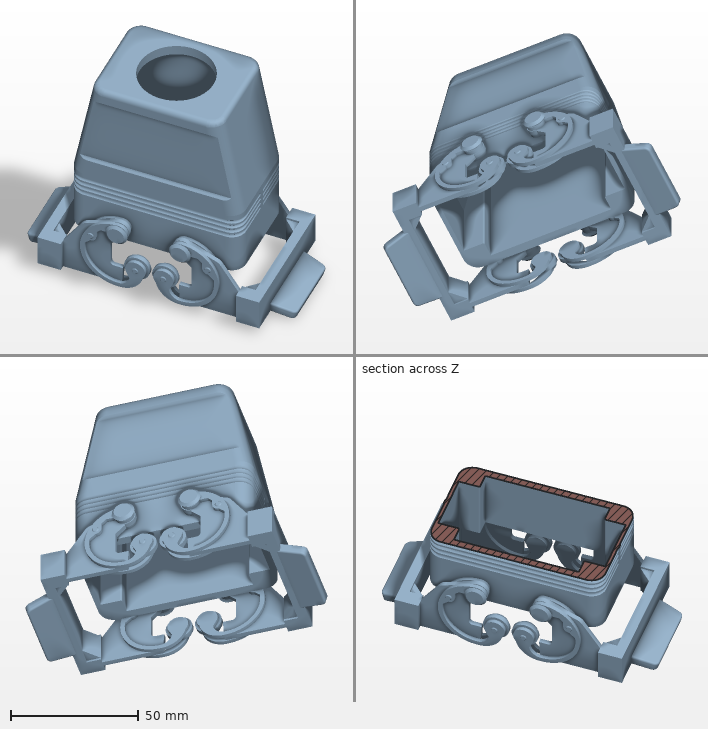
import cadquery as cq
import math


hood_half_length = 36.6
hood_half_width = 21.7
hood_bottom = 20.0
hood_top = 95.3
taper_start = 49.3
roof_half_length = 27.8
hood_corner_radius = 6.1
roof_edge_radius = 2.3
roof_thickness = 4.4
wall_thickness = 3.5
cable_hole_diameter = 31.7
cavity_half_length = 25.9
cavity_half_width = hood_half_width - wall_thickness
end_pocket_half_width = 11.8
end_pocket_wall = 1.9
end_pocket_edge_radius = 0.7

panel_bottom = 56.5
panel_top = 89.2
panel_depth = 1.2
panel_overshoot = 0.7

groove_count = 4
groove_top = 46.5
groove_height = 1.6
groove_pitch = 2.4
groove_depth = groove_height / 2
groove_gap = 2.3
groove_overrun = 1.2

lever_inner = 21.9
frame_plate_inner = 23.4
frame_plate_outer = 25.4
lever_outer = 27.0
knob_inner = 27.9
overall_width = 58.0
knob_outer = overall_width / 2

lever_center = (-13.5, 15.6)
lever_radius = 16.1
lever_rim = 1.9
pivot = (-13.5, 27.8)
pivot_boss_radius = 3.9
frame_boss_radius = 4.3
pivot_pin_radius = 2.4
knob_radius = 4.6
knob_bevel = 1.0
hook = (-6.0, 10.3)
hook_radius = 4.3
roller_radius = 5.5
rivet = (-25.1, 22.2)
rivet_boss_radius = 2.4
rivet_radius = 1.4
rivet_rise = 0.3

frame_outer = 47.5
frame_bar_inner = 43.3
frame_leg_inner = 37.5
frame_half_width = 27.8
frame_opening_half_width = 21.7
frame_height = 13.8
frame_plate_embed = 1.2
gusset_recess = 0.9
gusset_leg = frame_bar_inner - frame_leg_inner

handle_slope = 15
handle_root_half_width = 17.0
handle_tip_half_width = 14.9
handle_thickness = 4.2
handle_bottom = -2.8
handle_reach = 57.9
handle_embed = 2.3
handle_corner_radius = 2.3
handle_edge_radius = 0.8


def side_layer(inner, outer):
    """Work plane facing -Y, with the extrusion length that fills the given layer."""
    return cq.Workplane("XZ", origin=(0, -inner, 0)), outer - inner


def side_disc(center, radius, inner, outer):
    plane, thickness = side_layer(inner, outer)
    return plane.center(*center).circle(radius).extrude(thickness)


def on_circle(center, radius, degrees):
    angle = math.radians(degrees)
    return (center[0] + radius * math.cos(angle), center[1] + radius * math.sin(angle))


def hood_blank():
    """Solid hood: upright below, with its two ends leaning inwards above."""
    outline = [
        (-hood_half_length, hood_bottom),
        (hood_half_length, hood_bottom),
        (hood_half_length, taper_start),
        (roof_half_length, hood_top),
        (-roof_half_length, hood_top),
        (-hood_half_length, taper_start),
    ]
    blank = cq.Workplane("XZ").polyline(outline).close().extrude(hood_half_width, both=True)
    blank = blank.edges("not(#Z or |Y)").fillet(hood_corner_radius)
    return blank.faces(">Z").edges().fillet(roof_edge_radius)


def side_panel():
    """Cutter that sinks a flat panel with bevelled top and bottom edges."""
    outline = [
        (-hood_half_width - panel_overshoot, panel_bottom - panel_overshoot),
        (-hood_half_width + panel_depth, panel_bottom + panel_depth),
        (-hood_half_width + panel_depth, panel_top - panel_depth),
        (-hood_half_width - panel_overshoot, panel_top + panel_overshoot),
    ]
    return cq.Workplane("YZ").polyline(outline).close().extrude(hood_half_length, both=True)


def groove(top):
    """Cutter for one V groove, interrupted in the middle of both ends."""
    length, width = 2 * hood_half_length, 2 * hood_half_width
    middle = top - groove_height / 2
    section = cq.Sketch().rect(length, width).vertices().fillet(hood_corner_radius)
    lower_core = (
        cq.Workplane("XY", origin=(0, 0, top - groove_height))
        .placeSketch(section).extrude(groove_depth, taper=45)
    )
    core = lower_core.union(lower_core.mirror("XY", (0, 0, middle)))
    end_gap = cq.Workplane("XY", origin=(0, 0, middle)).box(2 * length, groove_gap, groove_height)
    ring = cq.Workplane("XY", origin=(0, 0, middle)).box(
        length + 2 * groove_overrun, width + 2 * groove_overrun, groove_height
    )
    return ring.cut(core).cut(end_gap)


def end_pocket():
    """Wider middle of the cavity, whose end walls lean with the outside of the hood."""
    bottom_half_length = hood_half_length - end_pocket_wall
    ceiling = hood_top - roof_thickness
    lean = (hood_half_length - roof_half_length) / (hood_top - taper_start)
    ceiling_half_length = roof_half_length + lean * roof_thickness - end_pocket_wall
    outline = [
        (-bottom_half_length, hood_bottom),
        (bottom_half_length, hood_bottom),
        (bottom_half_length, taper_start),
        (ceiling_half_length, ceiling),
        (-ceiling_half_length, ceiling),
        (-bottom_half_length, taper_start),
    ]
    return cq.Workplane("XZ").polyline(outline).close().extrude(end_pocket_half_width, both=True)


def hood():
    """Hollow hood, open underneath, with a round cable hole through the roof."""
    shell = hood_blank()
    panel = side_panel()
    shell = shell.cut(panel).cut(panel.mirror("XZ"))
    for index in range(groove_count):
        shell = shell.cut(groove(groove_top - index * groove_pitch))
    cavity = (
        cq.Workplane("XY", origin=(0, 0, hood_bottom))
        .rect(2 * cavity_half_length, 2 * cavity_half_width)
        .extrude(hood_top - roof_thickness - hood_bottom)
    )
    cavity = cavity.union(end_pocket())
    margin = 0.1
    edge_x = cavity_half_length + margin
    edge_y = end_pocket_half_width + margin
    pocket_edges = cq.selectors.BoxSelector((-edge_x, -edge_y, hood_bottom), (edge_x, edge_y, hood_top))
    cavity = cavity.edges("|Z").edges(pocket_edges).fillet(end_pocket_edge_radius)
    return shell.cut(cavity).faces(">Z").workplane(origin=(0, 0, hood_top)).hole(cable_hole_diameter)


def lever_plate(inner, outer):
    """One C-shaped lever plate with a boss at the pivot and a round hook end."""
    bore_radius = lever_radius - lever_rim
    plane, thickness = side_layer(inner, outer)
    arm = (
        plane.moveTo(*on_circle(lever_center, lever_radius, 90))
        .threePointArc(
            on_circle(lever_center, lever_radius, 180),
            on_circle(lever_center, lever_radius, 270),
        )
        .threePointArc((-6.8, 1.4), on_circle(hook, hook_radius, -41))
        .lineTo(*hook)
        .lineTo(*on_circle(hook, hook_radius, 210))
        .lineTo(-8.5, 5.7)
        .threePointArc((-9.5, 3.2), on_circle(lever_center, bore_radius, 275))
        .threePointArc(
            on_circle(lever_center, bore_radius, 225),
            on_circle(lever_center, bore_radius, 172),
        )
        .lineTo(*on_circle(rivet, rivet_boss_radius, 270))
        .threePointArc(
            on_circle(rivet, rivet_boss_radius, 315),
            on_circle(rivet, rivet_boss_radius, 0),
        )
        .lineTo(rivet[0] + rivet_boss_radius, 24.9)
        .lineTo(-20.8, 26.6)
        .lineTo(pivot[0], 26.6)
        .close()
        .extrude(thickness)
    )
    boss = side_disc(pivot, pivot_boss_radius, inner, outer)
    hook_end = side_disc(hook, hook_radius, inner, outer)
    return arm.union(boss).union(hook_end)


def frame_plate():
    """Flat plate that joins the locking frame to the lever pivot."""
    plane, thickness = side_layer(frame_plate_inner, frame_plate_outer)
    notch_fillet = 1.6
    notch_left = -17.4
    notch_floor = 8.3
    plate = (
        plane.moveTo(-frame_leg_inner - frame_plate_embed, 0)
        .lineTo(-12.5, 0)
        .lineTo(-12.0, notch_floor)
        .lineTo(notch_left + notch_fillet, notch_floor)
        .radiusArc((notch_left, notch_floor + notch_fillet), notch_fillet)
        .lineTo(notch_left, 19.3)
        .lineTo(pivot[0], 22.9)
        .lineTo(*on_circle(pivot, frame_boss_radius, 112.5))
        .lineTo(-26.9, 26.9)
        .threePointArc((-28.6, 26.2), (-29.9, 25.0))
        .lineTo(-frame_leg_inner, frame_height)
        .lineTo(-frame_leg_inner - frame_plate_embed, frame_height)
        .close()
        .extrude(thickness)
    )
    boss = side_disc(pivot, frame_boss_radius, frame_plate_inner, frame_plate_outer)
    roller = side_disc(hook, roller_radius, frame_plate_inner, frame_plate_outer)
    return plate.union(boss).union(roller)


def rivet_pin(center):
    pin = side_disc(center, rivet_radius, lever_inner, lever_outer + rivet_rise)
    return pin.faces("<Y").chamfer(rivet_rise)


def lever():
    """Frame plate between two lever plates, with rivets, pivot pin and knob."""
    pin_root = (cavity_half_width + hood_half_width) / 2
    knob = side_disc(pivot, knob_radius, knob_inner, knob_outer)
    return (
        frame_plate()
        .union(lever_plate(lever_inner, frame_plate_inner))
        .union(lever_plate(frame_plate_outer, lever_outer))
        .union(rivet_pin(rivet))
        .union(rivet_pin(hook))
        .union(side_disc(pivot, pivot_pin_radius, pin_root, knob_inner))
        .union(knob.faces("<Y").chamfer(knob_bevel))
    )


def frame_bar():
    """U-shaped end bar with sunk triangular gussets in its inner corners."""
    bar = (
        cq.Workplane("XY")
        .polyline([
            (-frame_outer, -frame_half_width),
            (-frame_leg_inner, -frame_half_width),
            (-frame_leg_inner, -frame_opening_half_width),
            (-frame_bar_inner, -frame_opening_half_width),
            (-frame_bar_inner, frame_opening_half_width),
            (-frame_leg_inner, frame_opening_half_width),
            (-frame_leg_inner, frame_half_width),
            (-frame_outer, frame_half_width),
        ])
        .close().extrude(frame_height)
    )
    gusset = (
        cq.Workplane("XY", origin=(0, 0, gusset_recess))
        .polyline([
            (-frame_bar_inner, -frame_opening_half_width),
            (-frame_leg_inner, -frame_opening_half_width),
            (-frame_bar_inner, -frame_opening_half_width + gusset_leg),
        ])
        .close().extrude(frame_height - 2 * gusset_recess)
    )
    return bar.union(gusset).union(gusset.mirror("XZ"))


def handle():
    """Sloping thumb plate on the outside of the end bar."""
    slope = math.radians(handle_slope)
    rounding_loss = handle_edge_radius * (math.cos(slope) + math.sin(slope) - 1)
    tip_bottom_x = -handle_reach - rounding_loss + handle_thickness * math.sin(slope)
    length = (-frame_outer - tip_bottom_x) / math.cos(slope)
    plane = cq.Plane(
        origin=(tip_bottom_x, 0, handle_bottom - rounding_loss),
        xDir=(math.cos(slope), 0, math.sin(slope)),
        normal=(-math.sin(slope), 0, math.cos(slope)),
    )
    root = length + handle_embed
    along_thickness = cq.selectors.ParallelDirSelector(plane.zDir)
    plate = (
        cq.Workplane(plane)
        .polyline([
            (0, -handle_tip_half_width),
            (root, -handle_root_half_width),
            (root, handle_root_half_width),
            (0, handle_tip_half_width),
        ])
        .close().extrude(handle_thickness)
    )
    corners = plate.edges(along_thickness).edges("<X")
    plate = corners.fillet(handle_corner_radius)
    plate = plate.faces(along_thickness).edges().fillet(handle_edge_radius)
    opening = cq.Workplane("XY").box(
        frame_bar_inner, 2 * frame_half_width, 2 * frame_height, centered=(False, True, True)
    )
    return plate.cut(opening.translate((-frame_bar_inner, 0, 0)))


side_lever = lever()
locking_frame = frame_bar().union(handle()).union(side_lever).union(side_lever.mirror("XZ"))
result = hood().union(locking_frame).union(locking_frame.mirror("YZ"))